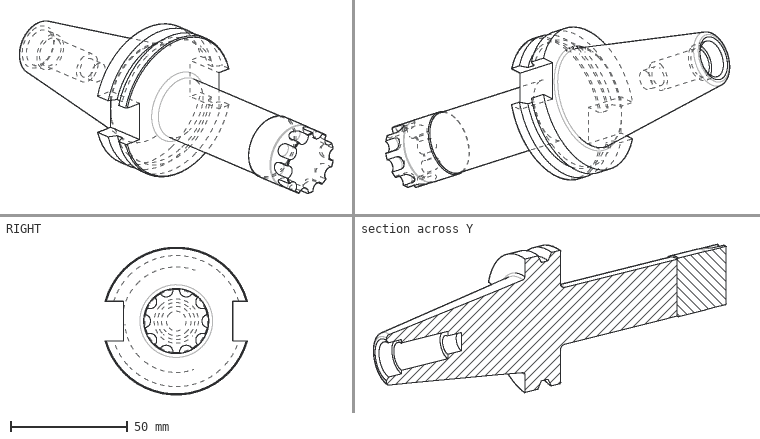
import cadquery as cq

total_length = 170.0

taper_small_diameter = 23.8
taper_large_diameter = 44.5
taper_end_fillet = 1.5
taper_root_fillet = 1.2

flange_diameter = 63.5
flange_start = 69.2
flange_end = 87.2
flange_chamfer = 0.5
groove_start = 75.8
groove_width = 6.6
groove_floor_width = 3.2
groove_floor_diameter = 56.5

drive_slot_width = 17.0
drive_slot_floor_back = 24.3
drive_slot_floor_front = 22.8

shank_diameter = 27.2
shank_root_fillet = 2.0

bore_mouth_diameter = 19.0
bore_diameter = 16.0
bore_chamfer_length = 1.0
bore_depth = 7.5
thread_bore_diameter = 12.7
thread_bore_depth = 30.6
pilot_diameter = 8.5
pilot_depth = 37.4

nut_start = 145.5
nut_diameter = 28.0
nut_chamfer = 0.5
nut_end_chamfer = 0.3
nut_tail_start = 159.2
nut_tail_diameter = 27.9
scallop_count = 10
scallop_radius = 2.9
scallop_ball_center = 164.8

edge_margin = 0.02


def turned(profile):
    """Revolve a closed list of (x, radius) points about the X axis."""
    return cq.Workplane("XY").polyline(profile).close().revolve(360, (0, 0, 0), (1, 0, 0))


def circle_edges(x, diameter):
    """Selector for the circular edge of the given diameter centred on the X axis at x."""
    reach = diameter / 2 + edge_margin
    low_corner = (x - edge_margin, -reach, -reach)
    high_corner = (x + edge_margin, reach, reach)
    return cq.selectors.BoxSelector(low_corner, high_corner, boundingbox=True)


def make_holder_blank():
    flange_radius = flange_diameter / 2
    groove_floor_radius = groove_floor_diameter / 2
    groove_flank = (groove_width - groove_floor_width) / 2
    groove_end = groove_start + groove_width
    blank = turned([
        (0, 0),
        (0, taper_small_diameter / 2),
        (flange_start, taper_large_diameter / 2),
        (flange_start, flange_radius),
        (groove_start, flange_radius),
        (groove_start + groove_flank, groove_floor_radius),
        (groove_end - groove_flank, groove_floor_radius),
        (groove_end, flange_radius),
        (flange_end - flange_chamfer, flange_radius),
        (flange_end, flange_radius - flange_chamfer),
        (flange_end, shank_diameter / 2),
        (nut_start, shank_diameter / 2),
        (nut_start, 0),
    ])
    blank = blank.edges(circle_edges(0, taper_small_diameter)).fillet(taper_end_fillet)
    blank = blank.edges(circle_edges(flange_start, taper_large_diameter)).fillet(taper_root_fillet)
    return blank.edges(circle_edges(flange_end, shank_diameter)).fillet(shank_root_fillet)


def make_drive_slot(floor_y, side):
    """Block that cuts one slot outward from floor_y; side is +1 for +Y and -1 for -Y."""
    start = flange_start - taper_root_fillet
    length = flange_end - start
    depth = flange_diameter / 2
    return cq.Workplane("XY").box(length, depth, drive_slot_width).translate(
        (start + length / 2, side * (floor_y + depth / 2), 0)
    )


def make_bore():
    return turned([
        (0, 0),
        (0, bore_mouth_diameter / 2),
        (bore_chamfer_length, bore_diameter / 2),
        (bore_depth, bore_diameter / 2),
        (bore_depth, thread_bore_diameter / 2),
        (thread_bore_depth, thread_bore_diameter / 2),
        (thread_bore_depth, pilot_diameter / 2),
        (pilot_depth, pilot_diameter / 2),
        (pilot_depth, 0),
    ])


def make_scallop():
    """Ball-ended groove along X, open at the free end of the nut, on its +Y side."""
    length = total_length - scallop_ball_center
    groove = cq.Workplane("YZ").circle(scallop_radius).extrude(length)
    ball = cq.Workplane("XY").sphere(scallop_radius)
    return groove.union(ball).translate((scallop_ball_center, nut_tail_diameter / 2, 0))


def make_holder():
    holder = make_holder_blank()
    holder = holder.cut(make_drive_slot(drive_slot_floor_back, 1))
    holder = holder.cut(make_drive_slot(drive_slot_floor_front, -1))
    return holder.cut(make_bore())


def make_nut():
    nut_radius = nut_diameter / 2
    tail_radius = nut_tail_diameter / 2
    nut = turned([
        (nut_start, 0),
        (nut_start, nut_radius - nut_chamfer),
        (nut_start + nut_chamfer, nut_radius),
        (nut_tail_start, nut_radius),
        (nut_tail_start + nut_chamfer, tail_radius),
        (total_length - nut_end_chamfer, tail_radius),
        (total_length, tail_radius - nut_end_chamfer),
        (total_length, 0),
    ])
    scallop = make_scallop()
    for index in range(scallop_count):
        angle = index * 360 / scallop_count
        nut = nut.cut(scallop.rotate((0, 0, 0), (1, 0, 0), angle))
    return nut


holder = make_holder()
nut = make_nut()

result = cq.Compound.makeCompound([holder.val(), nut.val()])